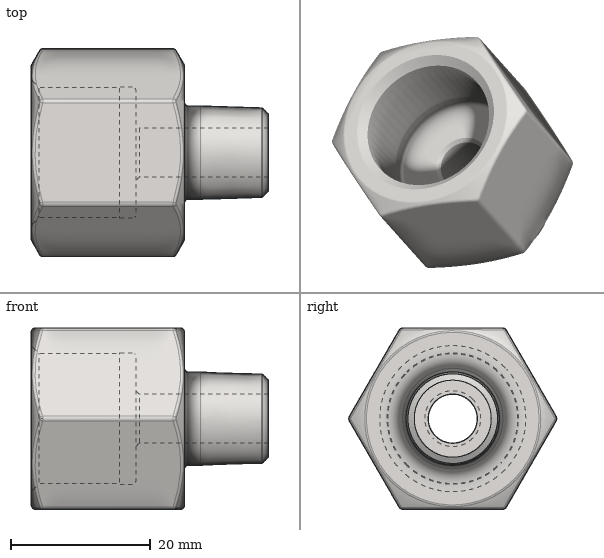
import cadquery as cq
import math

HEX_SIDES = 6
ACROSS_FLATS = 26.0
BODY_LENGTH = 22.0
END_FACE_DIAMETER = 25.0
END_CHAMFER_ANGLE = 30.0
CORNER_RADIUS = 0.7
END_RADIUS = 0.5

TOTAL_LENGTH = 34.0
SPIGOT_DIAMETER = 13.39
SPIGOT_STRAIGHT_LENGTH = 2.3
SPIGOT_TIP_CHAMFER = 0.9
SPIGOT_ROOT_RADIUS = 0.5
PIPE_TAPER = 1 / 16
SPIGOT_OVERLAP = 1.0

MOUTH_DIAMETER = 20.955
BORE_DIAMETER = 18.63
BORE_LENGTH = 12.65
RELIEF_DIAMETER = 18.83
RELIEF_BOTTOM_RADIUS = 0.5
FLOOR_DEPTH = 15.0
MOUTH_CHAMFER_ANGLE = 45.0

HOLE_DIAMETER = 7.0
HOLE_CHAMFER = 0.5

SELECTION_MARGIN = 0.1


def revolve_about_x(points):
    """Solid of revolution about X from (x, radius) points."""
    profile = cq.Workplane("XY").polyline(points).close()
    return profile.revolve(360, (0, 0, 0), (1, 0, 0))


def make_body():
    """Hexagonal prism with flats up and down, coned ends and rounded edges."""
    across_corners = ACROSS_FLATS / math.cos(math.pi / HEX_SIDES)
    prism = cq.Workplane("YZ").polygon(HEX_SIDES, across_corners).extrude(BODY_LENGTH)
    rounded_prism = prism.edges("|X").fillet(CORNER_RADIUS)

    face_radius = END_FACE_DIAMETER / 2
    cone_radius = across_corners
    cone_depth = (cone_radius - face_radius) * math.tan(math.radians(END_CHAMFER_ANGLE))
    envelope = revolve_about_x([
        (0, 0),
        (0, face_radius),
        (cone_depth, cone_radius),
        (BODY_LENGTH - cone_depth, cone_radius),
        (BODY_LENGTH, face_radius),
        (BODY_LENGTH, 0),
    ])
    rounded_ends = envelope.faces("<X or >X").edges().fillet(END_RADIUS)

    body = rounded_prism.intersect(rounded_ends)

    return body.edges("not (%CIRCLE or %LINE)").fillet(END_RADIUS)


def make_spigot():
    """Straight root, tapered length and chamfered tip."""
    root_radius = SPIGOT_DIAMETER / 2
    taper_start = BODY_LENGTH + SPIGOT_STRAIGHT_LENGTH
    taper_end = TOTAL_LENGTH - SPIGOT_TIP_CHAMFER
    tip_radius = root_radius - (taper_end - taper_start) * PIPE_TAPER / 2
    inside_body = BODY_LENGTH - SPIGOT_OVERLAP
    return revolve_about_x([
        (inside_body, 0),
        (inside_body, root_radius),
        (taper_start, root_radius),
        (taper_end, tip_radius),
        (TOTAL_LENGTH, tip_radius - SPIGOT_TIP_CHAMFER),
        (TOTAL_LENGTH, 0),
    ])


def make_passage():
    """Countersunk bore and its relief, leading into the chamfered through hole."""
    mouth_radius = MOUTH_DIAMETER / 2
    bore_radius = BORE_DIAMETER / 2
    relief_radius = RELIEF_DIAMETER / 2
    hole_radius = HOLE_DIAMETER / 2
    chamfer_depth = (mouth_radius - bore_radius) / math.tan(math.radians(MOUTH_CHAMFER_ANGLE))
    profile = (
        cq.Workplane("XY")
        .lineTo(0, mouth_radius)
        .lineTo(chamfer_depth, bore_radius)
        .lineTo(BORE_LENGTH, bore_radius)
        .lineTo(BORE_LENGTH, relief_radius)
        .lineTo(FLOOR_DEPTH - RELIEF_BOTTOM_RADIUS, relief_radius)
        .radiusArc((FLOOR_DEPTH, relief_radius - RELIEF_BOTTOM_RADIUS), RELIEF_BOTTOM_RADIUS)
        .lineTo(FLOOR_DEPTH, hole_radius + HOLE_CHAMFER)
        .lineTo(FLOOR_DEPTH + HOLE_CHAMFER, hole_radius)
        .lineTo(TOTAL_LENGTH, hole_radius)
        .lineTo(TOTAL_LENGTH, 0)
        .close()
    )
    return profile.revolve(360, (0, 0, 0), (1, 0, 0))


def round_spigot_root(part):
    """Fillet where the spigot meets the end face of the body."""
    reach = SPIGOT_DIAMETER / 2 + SELECTION_MARGIN
    root_edge = cq.selectors.BoxSelector(
        (BODY_LENGTH - SELECTION_MARGIN, -reach, -reach),
        (BODY_LENGTH + SELECTION_MARGIN, reach, reach),
        boundingbox=True,
    )
    return part.edges(root_edge).fillet(SPIGOT_ROOT_RADIUS)


outside = round_spigot_root(make_body().union(make_spigot()))
result = outside.cut(make_passage())